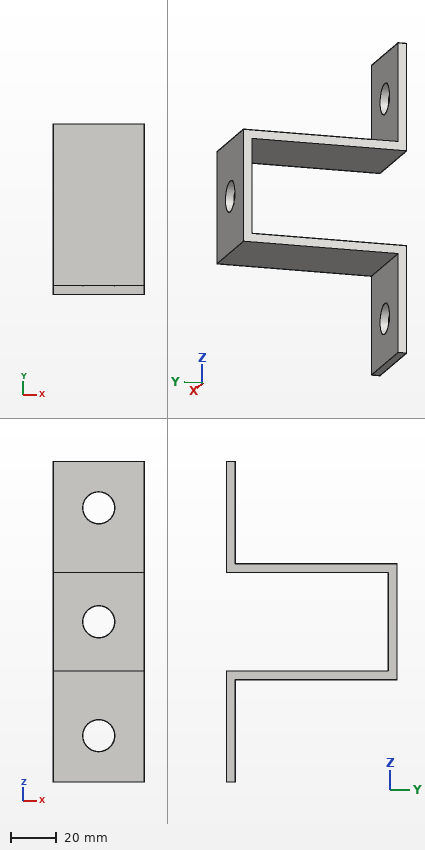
import cadquery as cq

width = 40.0
depth = 75.0
height = 141.0
thickness = 4.0
channel_height = 51.0
hole_diameter = 14.0
hole_spacing = 50.0

half_height = height / 2
half_channel = channel_height / 2
half_opening = half_channel - thickness


def strip_profile():
    """Hat-shaped section in the YZ plane, open toward -Y, with square bends."""
    upper_half = [
        (0, half_opening),
        (0, half_height),
        (thickness, half_height),
        (thickness, half_channel),
        (depth, half_channel),
    ]
    inner_corner = (depth - thickness, half_opening)
    lower_half = [(y, -z) for y, z in reversed(upper_half)]
    lower_inner_corner = (inner_corner[0], -inner_corner[1])
    return upper_half + lower_half + [lower_inner_corner, inner_corner]


def hole_cutters():
    """One hole along Y in each flange and one in the middle of the back wall."""
    return (
        cq.Workplane("XZ")
        .pushPoints([(0, -hole_spacing), (0, 0), (0, hole_spacing)])
        .circle(hole_diameter / 2)
        .extrude(-depth)
    )


bracket = cq.Workplane("YZ").polyline(strip_profile()).close().extrude(width / 2, both=True)
result = bracket.cut(hole_cutters())